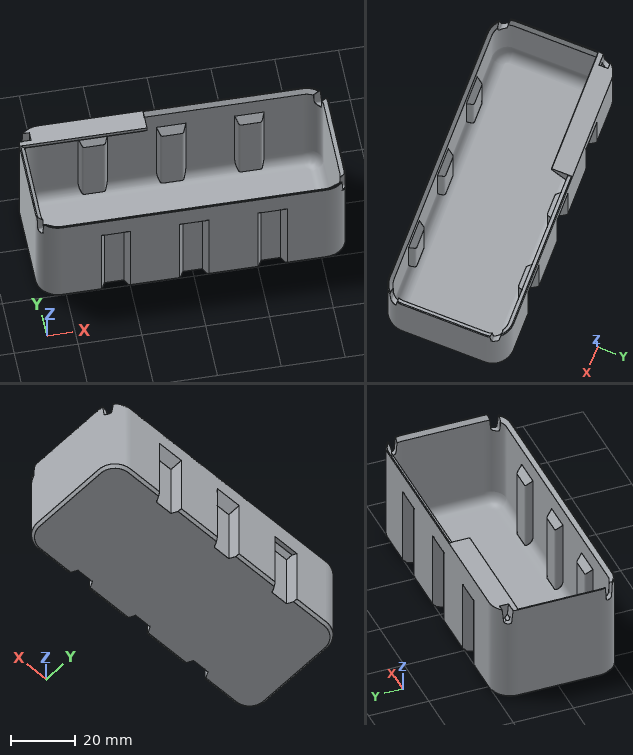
import cadquery as cq
LENGTH = 97.0
WIDTH = 41.2
HEIGHT = 33.7
CORNER_RADIUS = 7.0
BASE_CHAMFER = 1.0

WALL = 1.65
FLOOR = 1.0
FLOOR_FILLET = 4.1
RIM_LAND = 0.4
OVERCUT = 1.0

GROOVE_COUNT = 3
GROOVE_PITCH = 24.5
GROOVE_WIDTH = 9.2
GROOVE_TOP = 27.2
GROOVE_DEPTH = 3.0
GROOVE_SIDE_RUN = 1.6
GROOVE_TOP_RUN = 3.3

RIB_DEPTH = 2.1
RIB_TOP = 26.6
RIB_SIDE_RUN = RIB_DEPTH * GROOVE_SIDE_RUN / GROOVE_DEPTH
RIB_TOP_RUN = RIB_DEPTH
RIB_FILLET = 0.9

SHELF_LENGTH = 40.0
SHELF_WIDTH = CORNER_RADIUS
SHELF_LIP = 1.2
SHELF_ROOT = 8.05

NOTCH_INSET = 3.8
NOTCH_TOP_WIDTH = 3.0
NOTCH_BOTTOM_WIDTH = 2.0
NOTCH_DEPTH = 5.0
NOTCH_REACH = 4.0
NOTCH_FILLET = 0.8


def rounded_block(inset, bottom, top):
    """Upright block with rounded corners, inset from the outer outline."""
    return (
        cq.Workplane("XY", origin=(0, 0, bottom))
        .rect(LENGTH - 2 * inset, WIDTH - 2 * inset)
        .extrude(top - bottom)
        .edges("|Z")
        .fillet(CORNER_RADIUS - inset)
    )


def tapered_bar(base_y, depth, top, side_run, top_run):
    """Bar that narrows from the rear wall plane at base_y towards the cavity, with a sloping top."""
    tip_y = base_y - depth
    base_half = GROOVE_WIDTH / 2
    tip_half = base_half - side_run
    tip_top = top - top_run
    plan = (
        cq.Workplane("XY")
        .polyline([(-base_half, base_y), (base_half, base_y), (tip_half, tip_y), (-tip_half, tip_y)])
        .close()
        .extrude(top)
    )
    profile = (
        cq.Workplane("YZ", origin=(-base_half, 0, 0))
        .polyline([(base_y, 0), (base_y, top), (tip_y, tip_top), (tip_y, 0)])
        .close()
        .extrude(GROOVE_WIDTH)
    )
    return plan.intersect(profile)


def on_long_walls(bar):
    """Copies of a bar at every groove position on both long walls."""
    copies = cq.Workplane("XY")
    for index in range(GROOVE_COUNT):
        x = (index - (GROOVE_COUNT - 1) / 2) * GROOVE_PITCH
        placed = bar.translate((x, 0, 0))
        copies = copies.union(placed).union(placed.mirror("XZ"))
    return copies


def grooves():
    """Outside grooves, to be cut away."""
    bar = tapered_bar(WIDTH / 2, GROOVE_DEPTH, GROOVE_TOP, GROOVE_SIDE_RUN, GROOVE_TOP_RUN)
    return on_long_walls(bar)


def ribs():
    """Inside ribs with rounded long edges, to be left standing in the cavity."""
    rib = tapered_bar(WIDTH / 2 - WALL, RIB_DEPTH, RIB_TOP, RIB_SIDE_RUN, RIB_TOP_RUN)
    return on_long_walls(rib.edges("|Z and <Y").fillet(RIB_FILLET))


def cavity():
    """Inner volume with a rounded floor edge and a mouth that flares at 45 degrees."""
    inside = rounded_block(WALL, FLOOR, HEIGHT).faces("<Z").edges().fillet(FLOOR_FILLET)
    flare = WALL - RIM_LAND
    mouth = rounded_block(RIM_LAND, HEIGHT - flare, HEIGHT + OVERCUT).faces("<Z").chamfer(flare)
    return inside.union(mouth)


def shelf():
    """Flat ledge along the rear wall, propped by a sloping underside."""
    rear = WIDTH / 2
    front = rear - SHELF_WIDTH
    return (
        cq.Workplane("YZ", origin=(-LENGTH / 2, 0, 0))
        .polyline([
            (rear, HEIGHT),
            (front, HEIGHT),
            (front, HEIGHT - SHELF_LIP),
            (rear - WALL, HEIGHT - SHELF_ROOT),
            (rear, HEIGHT - SHELF_ROOT),
        ])
        .close()
        .extrude(SHELF_LENGTH)
    )


def notch(x_side, y_side):
    """Tapered slot running in from one end of the rim."""
    top = NOTCH_TOP_WIDTH / 2
    bottom = NOTCH_BOTTOM_WIDTH / 2
    slot = (
        cq.Workplane("YZ", origin=(-LENGTH / 2, WIDTH / 2 - NOTCH_INSET, HEIGHT))
        .polyline([(-top, 0), (top, 0), (bottom, -NOTCH_DEPTH), (-bottom, -NOTCH_DEPTH)])
        .close()
        .extrude(NOTCH_REACH)
        .faces("<Z")
        .edges("|X")
        .fillet(NOTCH_FILLET)
    )
    if x_side > 0:
        slot = slot.mirror("YZ")
    return slot if y_side > 0 else slot.mirror("XZ")


outer = rounded_block(0, 0, HEIGHT).faces("<Z").chamfer(BASE_CHAMFER)
result = outer.cut(cavity().cut(ribs()))
result = result.cut(grooves())
result = result.union(shelf().intersect(outer))
for x_side in (-1, 1):
    for y_side in (-1, 1):
        result = result.cut(notch(x_side, y_side))